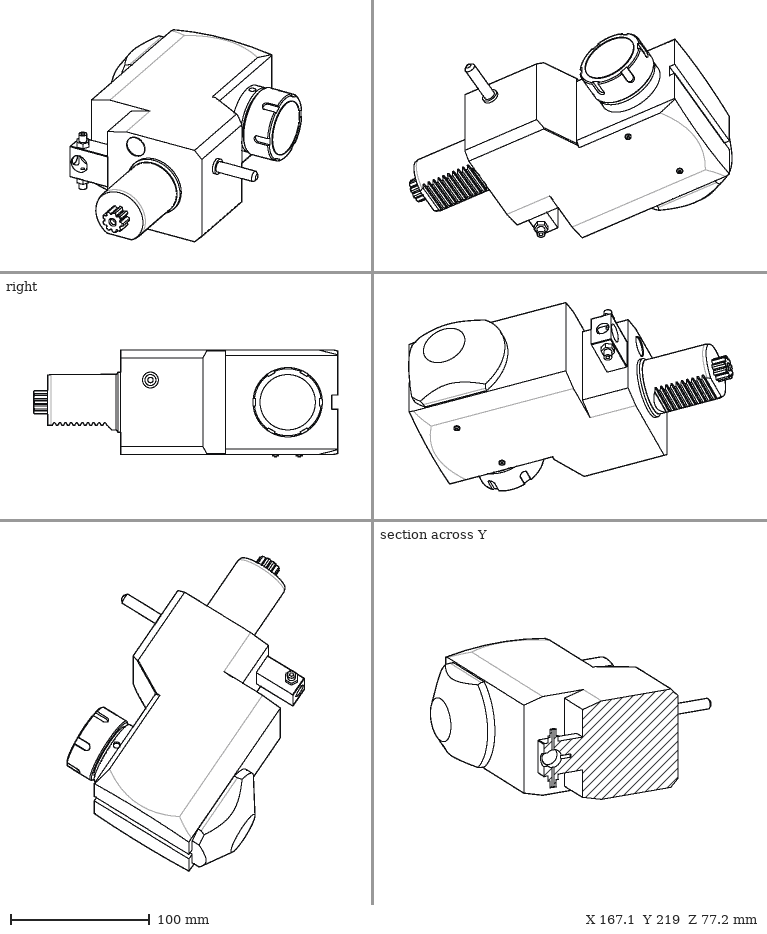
import cadquery as cq
import math


HALF_HEIGHT = 37.7
FRONT_LEFT_X = -39.2
FRONT_RIGHT_X = 38.5
SPINDLE_LEFT_X = -72.3
SPINDLE_RIGHT_X = 9.0
STEP_Y = 35.3
SLANT_START_Y = 59.1
SLANT_END_Y = 75.5
REAR_Y = 156.4
LEFT_BEVEL_WIDTH = 15.3
LEFT_BEVEL_ANGLE = 15
FRONT_RIGHT_BEVEL = 6.0
SPINDLE_RIGHT_BEVEL = 4.0
SLANT_BEVEL = 0.7
REAR_CROWN_RADIUS = 234.3
REAR_CROWN_X = -28.3
REAR_CROWN_HEIGHT = 37.0
REAR_CROWN_ANGLE = 12
KEYWAY_WIDTH = 10.0
KEYWAY_DEPTH = 4.4

SPINDLE_Y = 120.2
CAP_RADIUS = 40.3
CAP_TIP_RADIUS = 16.0
CAP_LEFT_X = -95.3
CAP_CONE_X = -78.2
CAP_FLAT_X = -75.0
CAP_HALF_HEIGHT = 32.5
CAP_REAR_Y = 152.0
COLLAR_RADIUS = 24.0
COLLAR_RIGHT_X = 16.9
NECK_RADIUS = 20.8
NUT_LEFT_X = 19.0
NUT_RIGHT_X = 40.3
NUT_RADIUS = 25.0
NUT_BEVEL = 0.9
NUT_FACE_RADIUS = 20.0
NUT_FACE_X = 41.0
NUT_SLOTS = 6
NUT_SLOT_WIDTH = 5.7
NUT_SLOT_DEPTH = 2.0
NUT_SLOT_LEFT_X = 28.5
COLLAR_HOLE_X = 13.1
COLLAR_HOLE_RADIUS = 2.5
COLLAR_HOLE_DEPTH = 3.3

FLANGE_RADIUS = 21.7
FLANGE_THICKNESS = 2.0
GROOVE_RADIUS = 19.5
GROOVE_END_Y = -3.5
SHANK_RADIUS = 20.1
SHANK_END_Y = -52.5
SHANK_BEVEL_LENGTH = 2.5
SHANK_BEVEL = 0.7
RACK_Z = -16.6
RACK_START_Y = -9.6
RACK_GROOVES = 10
RACK_FIRST_Y = -11.4
RACK_LAST_Y = -47.7
RACK_PITCH = (RACK_FIRST_Y - RACK_LAST_Y) / (RACK_GROOVES - 1)
RACK_MOUTH = 2.8
RACK_ROOT = 0.9
RACK_DEPTH = 1.8

SPLINE_TEETH = 9
SPLINE_RADIUS = 8.5
SPLINE_ROOT_RADIUS = 6.4
SPLINE_TIP_WIDTH = 1.8
SPLINE_ROOT_WIDTH = 3.5
SPLINE_END_Y = -62.6
SPLINE_BEVEL = 0.7
CENTRE_HOLE_RADIUS = 2.2
CENTRE_HOLE_DEPTH = 4.4
CENTRE_HOLE_BEVEL = 0.9

PIN_Y = 21.5
PIN_Z = 16.0
PIN_RADIUS = 4.0
PIN_END_X = 71.8
PIN_BEVEL = 2.0
PIN_FLANGE_RADIUS = 5.7
PIN_FLANGE_THICKNESS = 2.0

BLOCK_LEFT_X = -70.7
BLOCK_FRONT_Y = 0.9
BLOCK_REAR_Y = 16.2
BLOCK_HALF_HEIGHT = 12.7
BLOCK_BEVEL = 0.5
FITTING_X = -63.0
FITTING_Y = 6.4
FITTING_HEX_ACROSS = 9.9
FITTING_HEX_HEIGHT = 4.0
FITTING_RADIUS = 2.8
FITTING_HEIGHT = 9.5
FITTING_BORE_RADIUS = 1.3
FRONT_PORT_RADIUS = 6.5
FRONT_PORT_DEPTH = 13.1
SIDE_PORT_Y = 7.5
SIDE_PORT_RADIUS = 4.8
SIDE_PORT_DEPTH = FITTING_X - BLOCK_LEFT_X
PASSAGE_RADIUS = 1.0
PASSAGE_DEPTH = 22.0

PLUG_X = -16.0
PLUG_Z = 27.4
PLUG_RADIUS = 7.5
PLUG_RECESS = 0.9
SCREWS = [(-48.6, 128.5), (-2.8, 111.5)]
SCREW_RADIUS = 2.2
SCREW_HEIGHT = 0.9
SCREW_TIP_RADIUS = 0.9
SCREW_TIP_HEIGHT = 1.8
EMBED = 2.2


def box(x_range, y_range, z_range):
    size = [abs(end - start) for start, end in (x_range, y_range, z_range)]
    corner = (min(x_range), min(y_range), min(z_range))
    return cq.Workplane(cq.Solid.makeBox(*size, cq.Vector(*corner)))


def cylinder(radius, height, start, direction):
    return cq.Workplane(cq.Solid.makeCylinder(radius, height, cq.Vector(*start), cq.Vector(*direction)))


def turned_along_x(profile, y, z):
    """Turn a closed (x, radius) outline about the line through (y, z) parallel to X."""
    solid = cq.Workplane("XY").polyline(profile).close().revolve(360, (0, 0, 0), (1, 0, 0))
    return solid.translate((0, y, z))


def turned_along_y(profile):
    """Turn a closed (radius, y) outline about the Y axis."""
    return cq.Workplane("XY").polyline(profile).close().revolve(360, (0, 0, 0), (0, 1, 0))


def bevelled_bar(left_x, right_x, front_y, rear_y, right_bevel):
    """Bar along Y with shallow bevels on its left edges and 45 degree bevels on its right edges."""
    left_z = HALF_HEIGHT - LEFT_BEVEL_WIDTH * math.tan(math.radians(LEFT_BEVEL_ANGLE))
    upper = [
        (left_x, left_z),
        (left_x + LEFT_BEVEL_WIDTH, HALF_HEIGHT),
        (right_x - right_bevel, HALF_HEIGHT),
        (right_x, HALF_HEIGHT - right_bevel),
    ]
    lower = [(x, -z) for x, z in reversed(upper)]
    bar = cq.Workplane("XZ").polyline(upper + lower).close().extrude(front_y - rear_y)
    return bar.translate((0, front_y, 0))


def crown(side):
    """Large cone whose flank bevels the upper (side = 1) or lower (side = -1) rear edge."""
    front_radius = REAR_CROWN_RADIUS + REAR_Y * math.tan(math.radians(REAR_CROWN_ANGLE))
    centre_z = side * (REAR_CROWN_HEIGHT - REAR_CROWN_RADIUS)
    return cq.Workplane(
        cq.Solid.makeCone(
            REAR_CROWN_RADIUS,
            front_radius,
            REAR_Y,
            cq.Vector(REAR_CROWN_X, REAR_Y, centre_z),
            cq.Vector(0, -1, 0),
        )
    )


def make_spindle_housing():
    bar = bevelled_bar(SPINDLE_LEFT_X, SPINDLE_RIGHT_X, STEP_Y, REAR_Y, SPINDLE_RIGHT_BEVEL)
    bar = bar.intersect(crown(1)).intersect(crown(-1))
    keyway = box(
        (SPINDLE_LEFT_X, SPINDLE_RIGHT_X),
        (REAR_Y - KEYWAY_DEPTH, REAR_Y),
        (-KEYWAY_WIDTH / 2, KEYWAY_WIDTH / 2),
    )
    return bar.cut(keyway)


def make_front_housing():
    bar = bevelled_bar(FRONT_LEFT_X, FRONT_RIGHT_X, 0, SLANT_END_Y, FRONT_RIGHT_BEVEL)
    plan = [
        (FRONT_LEFT_X, 0),
        (FRONT_RIGHT_X, 0),
        (FRONT_RIGHT_X, SLANT_START_Y),
        (SPINDLE_RIGHT_X, SLANT_END_Y),
        (FRONT_LEFT_X, SLANT_END_Y),
    ]
    slanted = cq.Workplane("XY").polyline(plan).close().extrude(HALF_HEIGHT, both=True)
    normal = (SLANT_END_Y - SLANT_START_Y, FRONT_RIGHT_X - SPINDLE_RIGHT_X, 0)
    slant_face = slanted.faces(cq.selectors.DirectionMinMaxSelector(cq.Vector(*normal)))
    slanted = slant_face.edges("<Z or >Z").chamfer(SLANT_BEVEL)
    plug = cylinder(PLUG_RADIUS, PLUG_RECESS, (PLUG_X, 0, PLUG_Z), (0, 1, 0))
    return bar.intersect(slanted).cut(plug)


def make_cap():
    cap = turned_along_x(
        [
            (CAP_LEFT_X, 0),
            (CAP_LEFT_X, CAP_TIP_RADIUS),
            (CAP_CONE_X, CAP_RADIUS),
            (SPINDLE_LEFT_X + EMBED, CAP_RADIUS),
            (SPINDLE_LEFT_X + EMBED, 0),
        ],
        SPINDLE_Y,
        0,
    )
    fall = (CAP_FLAT_X - CAP_LEFT_X) * math.tan(math.radians(LEFT_BEVEL_ANGLE))
    upper = [
        (CAP_LEFT_X, CAP_HALF_HEIGHT - fall),
        (CAP_FLAT_X, CAP_HALF_HEIGHT),
        (SPINDLE_LEFT_X + EMBED, CAP_HALF_HEIGHT),
    ]
    lower = [(x, -z) for x, z in reversed(upper)]
    envelope = cq.Workplane("XZ").polyline(upper + lower).close().extrude(-CAP_REAR_Y)
    return cap.intersect(envelope)


def make_collet_nut():
    nut = turned_along_x(
        [
            (SPINDLE_RIGHT_X - EMBED, 0),
            (SPINDLE_RIGHT_X - EMBED, COLLAR_RADIUS),
            (COLLAR_RIGHT_X, COLLAR_RADIUS),
            (COLLAR_RIGHT_X, NECK_RADIUS),
            (NUT_LEFT_X, NECK_RADIUS),
            (NUT_LEFT_X, NUT_RADIUS - NUT_BEVEL),
            (NUT_LEFT_X + NUT_BEVEL, NUT_RADIUS),
            (NUT_RIGHT_X - NUT_BEVEL, NUT_RADIUS),
            (NUT_RIGHT_X, NUT_RADIUS - NUT_BEVEL),
            (NUT_RIGHT_X, NUT_FACE_RADIUS),
            (NUT_FACE_X, NUT_FACE_RADIUS),
            (NUT_FACE_X, 0),
        ],
        SPINDLE_Y,
        0,
    )
    slot_radius = NUT_SLOT_WIDTH / 2
    slot_bottom = NUT_RADIUS - NUT_SLOT_DEPTH
    slot = box(
        (NUT_SLOT_LEFT_X + slot_radius, NUT_FACE_X),
        (slot_bottom, NUT_RADIUS + NUT_SLOT_DEPTH),
        (-slot_radius, slot_radius),
    )
    slot_end = (NUT_SLOT_LEFT_X + slot_radius, slot_bottom, 0)
    slot = slot.union(cylinder(slot_radius, 2 * NUT_SLOT_DEPTH, slot_end, (0, 1, 0)))
    for index in range(NUT_SLOTS):
        turned_slot = slot.rotate((0, 0, 0), (1, 0, 0), index * 360 / NUT_SLOTS)
        nut = nut.cut(turned_slot.translate((0, SPINDLE_Y, 0)))
    hole_top = (COLLAR_HOLE_X, SPINDLE_Y, COLLAR_RADIUS)
    return nut.cut(cylinder(COLLAR_HOLE_RADIUS, COLLAR_HOLE_DEPTH, hole_top, (0, 0, -1)))


def make_shank():
    shank = turned_along_y(
        [
            (0, EMBED),
            (FLANGE_RADIUS, EMBED),
            (FLANGE_RADIUS, -FLANGE_THICKNESS),
            (GROOVE_RADIUS, GROOVE_END_Y),
            (SHANK_RADIUS, GROOVE_END_Y),
            (SHANK_RADIUS, SHANK_END_Y + SHANK_BEVEL_LENGTH),
            (SHANK_RADIUS - SHANK_BEVEL, SHANK_END_Y),
            (0, SHANK_END_Y),
        ]
    )
    drop = SHANK_RADIUS + RACK_Z
    flat = (
        cq.Workplane("YZ")
        .polyline(
            [
                (RACK_START_Y, RACK_Z),
                (SHANK_END_Y, RACK_Z),
                (SHANK_END_Y, -SHANK_RADIUS),
                (RACK_START_Y + drop, -SHANK_RADIUS),
            ]
        )
        .close()
        .extrude(SHANK_RADIUS, both=True)
    )
    groove = (
        cq.Workplane("YZ")
        .polyline(
            [
                (-RACK_MOUTH / 2, RACK_Z),
                (-RACK_ROOT / 2, RACK_Z + RACK_DEPTH),
                (RACK_ROOT / 2, RACK_Z + RACK_DEPTH),
                (RACK_MOUTH / 2, RACK_Z),
            ]
        )
        .close()
        .extrude(SHANK_RADIUS, both=True)
    )
    shank = shank.cut(flat)
    for index in range(RACK_GROOVES):
        shank = shank.cut(groove.translate((0, RACK_FIRST_Y - index * RACK_PITCH, 0)))
    return shank


def make_spline_shaft():
    start_y = SHANK_END_Y + EMBED
    length = start_y - SPLINE_END_Y
    shaft = cylinder(SPLINE_ROOT_RADIUS, length, (0, start_y, 0), (0, -1, 0))
    tooth_outline = [
        (0, -SPLINE_ROOT_WIDTH / 2),
        (SPLINE_ROOT_RADIUS, -SPLINE_ROOT_WIDTH / 2),
        (SPLINE_RADIUS, -SPLINE_TIP_WIDTH / 2),
        (SPLINE_RADIUS, SPLINE_TIP_WIDTH / 2),
        (SPLINE_ROOT_RADIUS, SPLINE_ROOT_WIDTH / 2),
        (0, SPLINE_ROOT_WIDTH / 2),
    ]
    tooth = cq.Workplane("XZ").polyline(tooth_outline).close().extrude(length).translate((0, start_y, 0))
    for index in range(SPLINE_TEETH):
        shaft = shaft.union(tooth.rotate((0, 0, 0), (0, 1, 0), index * 360 / SPLINE_TEETH))
    envelope = turned_along_y(
        [
            (0, start_y),
            (SPLINE_RADIUS, start_y),
            (SPLINE_RADIUS, SPLINE_END_Y + SPLINE_BEVEL),
            (SPLINE_RADIUS - SPLINE_BEVEL, SPLINE_END_Y),
            (0, SPLINE_END_Y),
        ]
    )
    centre_hole = turned_along_y(
        [
            (0, SPLINE_END_Y),
            (CENTRE_HOLE_RADIUS + CENTRE_HOLE_BEVEL, SPLINE_END_Y),
            (CENTRE_HOLE_RADIUS, SPLINE_END_Y + CENTRE_HOLE_BEVEL),
            (CENTRE_HOLE_RADIUS, SPLINE_END_Y + CENTRE_HOLE_DEPTH),
            (0, SPLINE_END_Y + CENTRE_HOLE_DEPTH),
        ]
    )
    return shaft.intersect(envelope).cut(centre_hole)


def make_pin():
    flange_x = FRONT_RIGHT_X + PIN_FLANGE_THICKNESS
    return turned_along_x(
        [
            (FRONT_RIGHT_X - EMBED, 0),
            (FRONT_RIGHT_X - EMBED, PIN_FLANGE_RADIUS),
            (flange_x, PIN_FLANGE_RADIUS),
            (flange_x, PIN_RADIUS),
            (PIN_END_X - PIN_BEVEL, PIN_RADIUS),
            (PIN_END_X, PIN_RADIUS - PIN_BEVEL),
            (PIN_END_X, 0),
        ],
        PIN_Y,
        PIN_Z,
    )


def make_fitting():
    """Hexagon nut and hose stub standing on the top of the coolant block."""
    base = cq.Workplane("XY", origin=(FITTING_X, FITTING_Y, BLOCK_HALF_HEIGHT))
    hexagon = base.polygon(6, FITTING_HEX_ACROSS).extrude(FITTING_HEX_HEIGHT)
    return hexagon.union(base.circle(FITTING_RADIUS).extrude(FITTING_HEIGHT))


def make_coolant_block():
    block = box(
        (BLOCK_LEFT_X, FRONT_LEFT_X + EMBED),
        (BLOCK_FRONT_Y, BLOCK_REAR_Y),
        (-BLOCK_HALF_HEIGHT, BLOCK_HALF_HEIGHT),
    )
    block = block.edges("(|X and <Y) or (|Y and <X)").chamfer(BLOCK_BEVEL)
    front_port = (FITTING_X, BLOCK_FRONT_Y, 0)
    side_port = (BLOCK_LEFT_X, SIDE_PORT_Y, 0)
    block = block.cut(cylinder(FRONT_PORT_RADIUS, FRONT_PORT_DEPTH, front_port, (0, 1, 0)))
    block = block.cut(cylinder(SIDE_PORT_RADIUS, SIDE_PORT_DEPTH, side_port, (1, 0, 0)))
    block = block.cut(cylinder(PASSAGE_RADIUS, PASSAGE_DEPTH, side_port, (1, 0, 0)))
    fitting = make_fitting()
    block = block.union(fitting).union(fitting.mirror("XY"))
    top_z = BLOCK_HALF_HEIGHT + FITTING_HEIGHT
    bore_start = (FITTING_X, FITTING_Y, top_z)
    return block.cut(cylinder(FITTING_BORE_RADIUS, 2 * top_z, bore_start, (0, 0, -1)))


def make_screw(x, y):
    """Screw end standing out of the lower face, with a small tip."""
    head = cylinder(SCREW_RADIUS, SCREW_HEIGHT + EMBED, (x, y, EMBED - HALF_HEIGHT), (0, 0, -1))
    tip = cylinder(SCREW_TIP_RADIUS, SCREW_TIP_HEIGHT, (x, y, -HALF_HEIGHT), (0, 0, -1))
    return head.union(tip)


result = make_spindle_housing().union(make_front_housing())
for attached in (
    make_cap(),
    make_collet_nut(),
    make_shank(),
    make_spline_shaft(),
    make_pin(),
    make_coolant_block(),
):
    result = result.union(attached)
for screw_x, screw_y in SCREWS:
    result = result.union(make_screw(screw_x, screw_y))